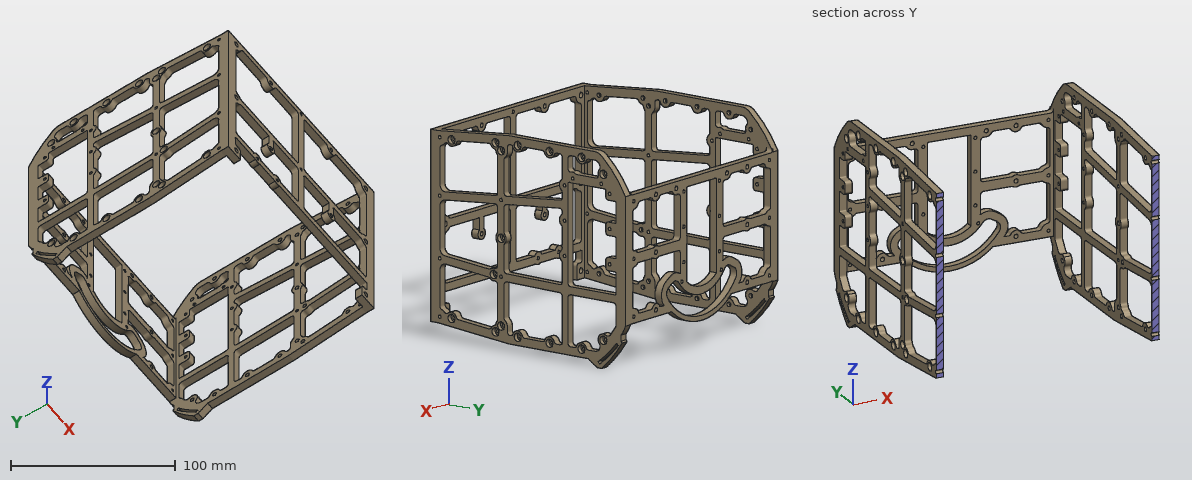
import cadquery as cq
import math

WIDTH = 150.0
DEPTH = 150.0
WALL = 5.0
SIDE_HALF = 65.0
LIP_DEPTH = 4.6
FRONT_HALF = 60.0
BACK_HALF = 40.2

HALF_X = WIDTH / 2
HALF_Y = DEPTH / 2
LIP_Z = -SIDE_HALF - LIP_DEPTH

RAIL = 5.4
SLANT_RAIL = 5.7
BAR = 5.1
EDGE = 7.3
PILOT_DIA = 2.0
SCREW_DIA = 2.7
MOUNT_DIA = 3.4
CBORE_DIA = 5.2
CBORE_DEPTH = 3.0
BOSS_R = 4.0
CORNER_BOSS_R = 5.0
ROUND = 2.0
WIDE_ROUND = 4.0
SMALL_ROUND = 0.8
CORNER_HOLE_X = 66.7
MATCH = 0.01
JOINT_ROUND = 2.2

SLOPE = 0.0924
SLOPE_END_Y = -69.0
SLOPE_START_Y = SLOPE_END_Y + (SIDE_HALF - FRONT_HALF) / SLOPE
RAIL_IN = SIDE_HALF - RAIL
SIDE_BACK_IN = HALF_Y - EDGE
SIDE_FRONT_IN = -SIDE_BACK_IN
BACK_POST = (26.3, 30.8)
MID_POST = (-23.5, -18.4)
MID_POST_Y = -20.8
SLANT_BAR_Z = 25.85
REAR_BAR_Z = -24.65
TOP_BAR = (42.8, 48.6)
FLANK_Y = 55.4
FLANK_Z = -48.6
FLANK_BEND_Y = 62.5
FLANK_END_Z = -41.6
CORNER_ARC_END = (57.3, 62.5)
CORNER_ARC_Z = 40.4
CORNER_ARC_R = 78.0
CORNER_TOP_Y = 50.8
CORNER_BLEND_R = 9.0

LIP_NECK = [(71.6, -46.5), (71.6, -50.3), (72.4, -51.3)]
LIP_NECK_R = 20.0
LIP_TIP = [(56.6, LIP_Z), (53.4, LIP_Z)]
LIP_R = 85.0
LIP_ROOT_Y = 46.2
SLOT_AXIS = [(68.7, -52.8), (54.5, -66.3)]
SLOT_WIDTH = 1.7

PITCH = 22.0
TAB_HOLE = (62.75, 40.4)
TAB_HALF = 4.2
TAB_TIP_Y = 59.8
TAB_LEVELS = [TAB_HOLE[1] - PITCH * i for i in range(3)]
POST_HOLE_Y = 28.1
TOP_BAR_HOLE_Z = 45.6
TOP_BAR_HOLES = [(56.3, TOP_BAR_HOLE_Z), (34.3, TOP_BAR_HOLE_Z)]

RAIL_BOSS_Z = 59.8
RAIL_BOSSES = [(y, RAIL_BOSS_Z) for y in (41.1, 16.5, -8.0)]
FLANK_BOSS = (57.9, 51.8)
POST_TOP_BOSS = (MID_POST_Y, 54.7)
SLOPE_BOSS = (-25.1, 59.0)
FRONT_BOSS = (-58.9, 55.7)
POST_BOSS = (MID_POST_Y, 0.0)
BAR_BOSS = (-26.5, -23.4)
POST_SHOULDER_Y = -15.8
SIDE_CORNER_HOLE = (-68.0, 56.0)

FRONT_IN_X = 67.0
FRONT_TOP_IN = 55.1
FRONT_POST_HALF = 2.85
FRONT_BAR_HALF = 2.6
FRONT_LOW_BEAM = (-42.2, -37.1)
LEG_IN_X = 67.75
FOOT_IN_X = 62.5
FOOT_TOP_Z = -49.8
FRONT_CORNER_Z = 54.75
ARM_X = 31.0
ARM_HALF = 2.3
ARM_EYE_Z = -12.95
ARM_EYE_R = 3.6
LOW_BOSSES = [(-44.8, -38.9), (-24.6, -38.9)]
TOP_CENTRE_HOLE_Z = 57.1

BACK_IN_X = 67.8
BACK_RAIL_IN = 34.9
BACK_BAR_HALF = 3.15
BACK_POST_X = (14.6, 21.0)
BACK_SCREW_X = 44.9
BACK_SCREW_Z = 36.0
BACK_POST_HOLE_X = 17.5
BACK_POST_HOLES = [(BACK_POST_HOLE_X, 32.6 - PITCH * i) for i in range(3)]
RING_HOLE = (19.4, -23.3)
INNER_SCREW_X = 24.9

RING_Z = -6.5
RING_R = (23.0, 28.1, 41.5, 44.7)
EAR_RIM = 5.1
SLOT_END_ANGLE = 29.0
SLOT_END_R = 4.5


def mirror_z(point):
    return (point[0], -point[1])


def both_sides(points):
    """The points together with their mirror images about the vertical centre line."""
    return points + [(-x, y) for x, y in points]


def slab(points):
    return cq.Workplane("XY").polyline(points).close().extrude(WALL)


def box(x_range, y_range):
    (x0, x1), (y0, y1) = x_range, y_range
    return slab([(x0, y0), (x1, y0), (x1, y1), (x0, y1)])


def discs(centres, radius, height=WALL):
    return cq.Workplane("XY").pushPoints(centres).circle(radius).extrude(height)


def round_corners(solid, corners, radius):
    """Fillet the upright edges standing on the given corners."""
    def on_corner(edge):
        centre = edge.Center()
        return any(math.hypot(centre.x - x, centre.y - y) < MATCH for x, y in corners)
    return solid.edges("|Z").filter(on_corner).fillet(radius)


def milled(solid, cutter_radius):
    """The part of an opening that a round cutter reaches: its corners become rounded."""
    outline = solid.faces("<Z").wires().val()
    opening = cq.Workplane("XY")
    for path in outline.offset2D(-cutter_radius):
        for swept in path.offset2D(cutter_radius):
            opening = opening.add(cq.Solid.extrudeLinear(swept, [], cq.Vector(0, 0, WALL)))
    return opening.combine()


def window(points, bosses=(), corner_bosses=(), wide=()):
    """Opening in a plate: a polygon less the bosses, with rounded corners, the wide ones more so."""
    solid = slab(points)
    if wide:
        solid = round_corners(solid, wide, WIDE_ROUND)
    if bosses:
        solid = solid.cut(discs(bosses, BOSS_R))
    if corner_bosses:
        solid = solid.cut(discs(corner_bosses, CORNER_BOSS_R))
    return milled(solid, ROUND)


def upper_bar(y, side):
    """Height of the slanted upper bar at y; side is +1 for its top and -1 for its bottom."""
    return SLANT_BAR_Z + SLOPE * y + side * BAR / 2


def lower_bar(y, side):
    """Height of the lower bar at y: slanted in front of the middle post, nearly level behind."""
    if y <= MID_POST_Y:
        return -SLANT_BAR_Z - SLOPE * y + side * BAR / 2
    post_z = -SLANT_BAR_Z - SLOPE * MID_POST_Y
    share = (y - MID_POST_Y) / (BACK_POST[1] - MID_POST_Y)
    return post_z + share * (REAR_BAR_Z - post_z) + side * BAR / 2


def side_outline():
    arc_start = (HALF_Y, CORNER_ARC_Z)
    outline = (
        cq.Workplane("XY")
        .moveTo(-HALF_Y, -FRONT_HALF)
        .lineTo(-HALF_Y, FRONT_HALF)
        .lineTo(SLOPE_END_Y, FRONT_HALF)
        .lineTo(SLOPE_START_Y, SIDE_HALF)
        .lineTo(CORNER_TOP_Y, SIDE_HALF)
        .radiusArc(CORNER_ARC_END, CORNER_BLEND_R)
        .radiusArc(arc_start, CORNER_ARC_R)
        .lineTo(HALF_Y, -CORNER_ARC_Z)
        .radiusArc(LIP_NECK[0], LIP_NECK_R)
    )
    for point in LIP_NECK[1:]:
        outline = outline.lineTo(*point)
    return (
        outline
        .radiusArc(LIP_TIP[0], LIP_R)
        .lineTo(*LIP_TIP[1])
        .lineTo(LIP_ROOT_Y, -SIDE_HALF)
        .lineTo(SLOPE_START_Y, -SIDE_HALF)
        .lineTo(SLOPE_END_Y, -FRONT_HALF)
        .close()
        .extrude(WALL)
    )


def lip_slot():
    """Thin curved slot that runs along the lip, with square ends."""
    (y0, z0), (y1, z1) = SLOT_AXIS
    length = math.hypot(y1 - y0, z1 - z0)
    across_y = (z0 - z1) / length * SLOT_WIDTH / 2
    across_z = (y1 - y0) / length * SLOT_WIDTH / 2
    return (
        cq.Workplane("XY")
        .moveTo(y0 + across_y, z0 + across_z)
        .radiusArc((y1 + across_y, z1 + across_z), LIP_R)
        .lineTo(y1 - across_y, z1 - across_z)
        .radiusArc((y0 - across_y, z0 - across_z), -LIP_R)
        .close()
        .extrude(WALL)
    )


def tab_window():
    """Tall rear opening with three tabs standing forward from the rear border."""
    floor = REAR_BAR_Z + BAR / 2
    opening = box((BACK_POST[1], SIDE_BACK_IN), (floor, TOP_BAR[0]))
    tab_corners = []
    root_corners = []
    for level in TAB_LEVELS:
        top = level + TAB_HALF
        bottom = level - TAB_HALF
        if level == TAB_HOLE[1]:
            top = TOP_BAR[0]
        else:
            tab_corners.append((TAB_TIP_Y, top))
            root_corners.append((SIDE_BACK_IN, top))
        tab_corners.append((TAB_TIP_Y, bottom))
        root_corners.append((SIDE_BACK_IN, bottom))
        opening = opening.cut(box((TAB_TIP_Y, SIDE_BACK_IN), (bottom, top)))
    opening = round_corners(opening, tab_corners, ROUND)
    end_corners = [(TAB_TIP_Y, TOP_BAR[0]), (BACK_POST[1], TOP_BAR[0]), (SIDE_BACK_IN, floor)]
    opening = round_corners(opening, root_corners + end_corners, SMALL_ROUND)
    return round_corners(opening, [(BACK_POST[1], floor)], ROUND)


def rear_windows():
    top = window(
        [(FLANK_Y, RAIL_IN), (BACK_POST[1], RAIL_IN), (BACK_POST[1], TOP_BAR[1]), (FLANK_Y, TOP_BAR[1])],
        bosses=[FLANK_BOSS, RAIL_BOSSES[0], TOP_BAR_HOLES[1]],
        wide=[(FLANK_Y, RAIL_IN)],
    )
    bar_bottom = REAR_BAR_Z - BAR / 2
    bottom = window(
        [(SIDE_BACK_IN, bar_bottom), (BACK_POST[1], bar_bottom), (BACK_POST[1], -RAIL_IN),
         (FLANK_Y, -RAIL_IN), (FLANK_Y, FLANK_Z), (FLANK_BEND_Y, FLANK_Z), (SIDE_BACK_IN, FLANK_END_Z)],
        bosses=[mirror_z(FLANK_BOSS), mirror_z(RAIL_BOSSES[0])],
        wide=[(FLANK_Y, -RAIL_IN)],
    )
    return [top, tab_window(), bottom]


def middle_windows():
    rear = BACK_POST[0]
    front = MID_POST[1]
    post_holes = [(POST_HOLE_Y, level) for level in TAB_LEVELS]
    head = POST_TOP_BOSS[1]
    top = window(
        [(rear, RAIL_IN), (POST_SHOULDER_Y, RAIL_IN), (POST_SHOULDER_Y, head), (front, head),
         (front, upper_bar(front, 1)), (rear, upper_bar(rear, 1))],
        bosses=RAIL_BOSSES[1:] + post_holes[:1],
        corner_bosses=[POST_TOP_BOSS],
    )
    centre = window(
        [(rear, upper_bar(rear, -1)), (front, upper_bar(front, -1)),
         (front, lower_bar(front, 1)), (rear, lower_bar(rear, 1))],
        bosses=post_holes[1:] + [POST_BOSS],
    )
    bottom = window(
        [(rear, lower_bar(rear, -1)), (front, lower_bar(front, -1)), (front, -head),
         (POST_SHOULDER_Y, -head), (POST_SHOULDER_Y, -RAIL_IN), (rear, -RAIL_IN)],
        bosses=[mirror_z(boss) for boss in RAIL_BOSSES[1:]],
        corner_bosses=[mirror_z(POST_TOP_BOSS)],
    )
    return [top, centre, bottom]


def front_windows():
    rear = MID_POST[0]
    front = SIDE_FRONT_IN
    rail_rear = SIDE_HALF + SLOPE * (rear - SLOPE_START_Y) - SLANT_RAIL
    rail_front = rail_rear + SLOPE * (front - rear)
    end_bosses = [POST_TOP_BOSS, SLOPE_BOSS, FRONT_BOSS]
    top = window(
        [(rear, rail_rear), (front, rail_front), (front, upper_bar(front, 1)), (rear, upper_bar(rear, 1))],
        bosses=end_bosses,
        corner_bosses=[SIDE_CORNER_HOLE],
        wide=[(front, upper_bar(front, 1))],
    )
    centre_wide = [(front, upper_bar(front, -1)), (front, lower_bar(front, 1))]
    centre = window(
        [(rear, upper_bar(rear, -1)), *centre_wide, (rear, lower_bar(rear, 1))],
        bosses=[POST_BOSS, BAR_BOSS],
        wide=centre_wide,
    )
    bottom = window(
        [(rear, lower_bar(rear, -1)), (front, lower_bar(front, -1)),
         (front, -rail_front), (rear, -rail_rear)],
        bosses=[BAR_BOSS] + [mirror_z(boss) for boss in end_bosses],
        corner_bosses=[mirror_z(SIDE_CORNER_HOLE)],
        wide=[(front, lower_bar(front, -1))],
    )
    return [top, centre, bottom]


def side_plate():
    """Flat side plate, outer face at Z = 0."""
    plate = side_outline()
    for opening in rear_windows() + middle_windows() + front_windows():
        plate = plate.cut(opening)
    plate = plate.cut(lip_slot())

    mirrored = [FLANK_BOSS, *RAIL_BOSSES, POST_TOP_BOSS, SLOPE_BOSS, FRONT_BOSS]
    screws = mirrored + [mirror_z(boss) for boss in mirrored] + [POST_BOSS, BAR_BOSS]
    plate = plate.union(discs([POST_BOSS, BAR_BOSS], BOSS_R))
    plate = plate.cut(discs(screws, SCREW_DIA / 2))
    plate = plate.cut(discs(screws, CBORE_DIA / 2, CBORE_DEPTH))

    pilots = list(TOP_BAR_HOLES)
    pilots += [(y, level) for level in TAB_LEVELS for y in (TAB_HOLE[0], POST_HOLE_Y)]
    bar_front_z = SLANT_BAR_Z + SLOPE * SIDE_CORNER_HOLE[0]
    bar_mid_z = SLANT_BAR_Z + SLOPE * MID_POST_Y
    bar_holes = [SIDE_CORNER_HOLE, (SIDE_CORNER_HOLE[0], bar_front_z), (MID_POST_Y, bar_mid_z)]
    pilots += bar_holes + [mirror_z(hole) for hole in bar_holes]
    return plate.cut(discs(pilots, PILOT_DIA / 2))


def front_plate():
    """Flat front plate, outer face at Z = WALL."""
    plate = box((-HALF_X, HALF_X), (-FRONT_HALF, FRONT_HALF))
    corners = [(-CORNER_HOLE_X, FRONT_CORNER_Z), (-CORNER_HOLE_X, 0)]
    upper = window(
        [(-FRONT_IN_X, FRONT_BAR_HALF), (-FRONT_POST_HALF, FRONT_BAR_HALF),
         (-FRONT_POST_HALF, FRONT_TOP_IN), (-FRONT_IN_X, FRONT_TOP_IN)],
        bosses=[(-ARM_X, FRONT_CORNER_Z)],
        corner_bosses=corners,
    )
    lower_corner = (-FRONT_IN_X, FRONT_LOW_BEAM[1])
    lower = window(
        [lower_corner, (-FRONT_POST_HALF, FRONT_LOW_BEAM[1]),
         (-FRONT_POST_HALF, -FRONT_BAR_HALF), (-FRONT_IN_X, -FRONT_BAR_HALF)],
        corner_bosses=corners[1:],
    )
    lower = lower.cut(box((-ARM_X - ARM_HALF, -ARM_X + ARM_HALF), (ARM_EYE_Z, -FRONT_BAR_HALF)))
    lower = lower.cut(discs([(-ARM_X, ARM_EYE_Z)], ARM_EYE_R))
    for opening in (upper, lower):
        plate = plate.cut(opening).cut(opening.mirror("YZ"))
    plate = plate.cut(leg_gap())

    plate = plate.union(discs(LOW_BOSSES, BOSS_R))
    mounts = [(CORNER_HOLE_X, z) for z in (FRONT_CORNER_Z, 0, -FRONT_CORNER_Z)]
    screws = [(ARM_X, FRONT_CORNER_Z), (ARM_X, ARM_EYE_Z)]
    plate = plate.cut(discs(both_sides(mounts), MOUNT_DIA / 2))
    plate = plate.cut(discs(both_sides(screws), SCREW_DIA / 2))
    return plate.cut(discs([(0, 0), (0, TOP_CENTRE_HOLE_Z), *LOW_BOSSES], PILOT_DIA / 2))


def leg_gap():
    """Open space below the lowest beam, between the two hooked legs."""
    beam = FRONT_LOW_BEAM[0]
    gap = box((-LEG_IN_X, LEG_IN_X), (FOOT_TOP_Z, beam))
    gap = gap.union(box((-FOOT_IN_X, FOOT_IN_X), (-FRONT_HALF, beam)))
    gap = round_corners(gap, both_sides([(LEG_IN_X, beam)]), SMALL_ROUND)
    return round_corners(gap, both_sides([(LEG_IN_X, FOOT_TOP_Z), (FOOT_IN_X, FOOT_TOP_Z)]), ROUND)


def ring_sector(inner, outer, end_offset, end_round):
    """Lower part of a ring whose straight ends lie end_offset beyond the slot ends."""
    ring = cq.Workplane("XY").center(0, RING_Z).circle(outer).circle(inner).extrude(WALL)
    a = math.radians(SLOT_END_ANGLE)
    reach = 2 * outer
    end_x = reach * math.cos(a) + end_offset * math.sin(a)
    end_z = RING_Z - reach * math.sin(a) + end_offset * math.cos(a)
    middle = (0, RING_Z + end_offset / math.cos(a))
    keep = slab([middle, (end_x, end_z), (end_x, -reach), (-end_x, -reach), (-end_x, end_z)])
    sector = ring.intersect(keep)
    return sector.edges("|Z").fillet(end_round)


def ring_parts():
    """The curved-slot ring with its two ears, and the slot itself."""
    inner_rim, slot_in, slot_out, outer_rim = RING_R
    ears = ring_sector(inner_rim, slot_out + EAR_RIM, EAR_RIM, SLOT_END_R + EAR_RIM)
    ears = ears.intersect(box((-HALF_X, HALF_X), (-BACK_HALF, BACK_HALF)))
    rim = cq.Workplane("XY").center(0, RING_Z).circle(outer_rim).extrude(WALL)
    rim = rim.intersect(box((-HALF_X, HALF_X), (RING_Z - outer_rim, -BACK_HALF)))
    slot = ring_sector(slot_in, slot_out, 0, SLOT_END_R)
    return ears.union(rim), slot


def back_plate():
    """Flat back plate, inner face at Z = WALL."""
    plate = box((-HALF_X, HALF_X), (-BACK_HALF, BACK_HALF))
    post_in, post_out = BACK_POST_X
    for side in (1, -1):
        rail = side * BACK_RAIL_IN
        bar = side * BACK_BAR_HALF
        hole = side * BACK_SCREW_Z
        points = [(post_out, bar), (BACK_IN_X, bar), (BACK_IN_X, rail)]
        bosses = [(BACK_SCREW_X, hole), (BACK_SCREW_X, 0)]
        if side > 0:
            shelf = hole - BOSS_R
            bosses.append((INNER_SCREW_X, hole))
            points += [(INNER_SCREW_X, rail), (INNER_SCREW_X, shelf), (post_out, shelf)]
        else:
            points.append((post_out, rail))
        opening = window(
            points,
            bosses=bosses,
            corner_bosses=[(CORNER_HOLE_X, hole), (CORNER_HOLE_X, 0)],
        )
        plate = plate.cut(opening).cut(opening.mirror("YZ"))
    ring, slot = ring_parts()
    plate = plate.union(ring)
    centre = box((-post_in, post_in), (RING_Z, BACK_RAIL_IN)).edges("|Z and >Y").fillet(SMALL_ROUND)
    inner_disc = cq.Workplane("XY").center(0, RING_Z).circle(RING_R[0]).extrude(WALL)
    column = box((-post_in, post_in), (-BACK_HALF, RING_Z))
    plate = plate.cut(centre).cut(inner_disc.intersect(column)).cut(slot)

    screws = [(BACK_SCREW_X, BACK_SCREW_Z), (BACK_SCREW_X, 0), (BACK_SCREW_X, -BACK_SCREW_Z),
              (INNER_SCREW_X, BACK_SCREW_Z)]
    pilots = [(CORNER_HOLE_X, z) for z in (BACK_SCREW_Z, 0, -BACK_SCREW_Z)]
    pilots += BACK_POST_HOLES + [RING_HOLE]
    plate = plate.cut(discs(both_sides(screws), SCREW_DIA / 2))
    return plate.cut(discs(both_sides(pilots), PILOT_DIA / 2))


def back_joint():
    """Concave fillet strip between the top of the back plate and the right side plate."""
    corner_x = HALF_X - WALL
    block = box((corner_x - JOINT_ROUND, corner_x), (BACK_HALF, BACK_HALF + JOINT_ROUND))
    centre = (corner_x - JOINT_ROUND, BACK_HALF + JOINT_ROUND)
    return block.cut(discs([centre], JOINT_ROUND))


def upright(flat, back_y):
    """Stand a flat plate up so that local Y becomes Z and its thickness runs toward -Y."""
    return flat.rotate((0, 0, 0), (1, 0, 0), 90).translate((0, back_y, 0))


left = side_plate().rotate((0, 0, 0), (1, 1, 1), 120).translate((-HALF_X, 0, 0))
joint = upright(back_joint(), HALF_Y)
result = (
    left
    .union(left.mirror("YZ"))
    .union(upright(front_plate(), WALL - HALF_Y))
    .union(upright(back_plate(), HALF_Y))
    .union(joint)
    .union(joint.mirror("YZ"))
)